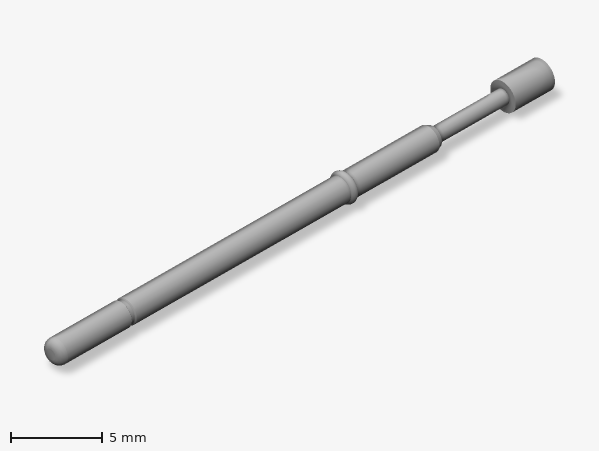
import cadquery as cq
import math


total_length = 37.3
head_length = 3
barrel_length = 29.02
collar_from_nose = 22.23
collar_width = 0.52
groove_from_nose = 5.52
groove_width = 0.37
groove_floor_width = 0.22
mouth_length = 0.35

head_diameter = 2.0
stem_diameter = 1.0
barrel_diameter = 1.68
collar_diameter = 2.0
groove_diameter = 1.5
mouth_diameter = 1.38

nose_rounding = 0.5

nose_y = -total_length / 2
head_y = total_length / 2
stem_end_y = head_y - head_length
mouth_y = nose_y + barrel_length
collar_y = nose_y + collar_from_nose
groove_y = nose_y + groove_from_nose


def turned(profile):
    """Full turn about the Y axis of a closed half profile."""
    return profile.revolve(360, (0, 0, 0), (1, 0, 0))


def half_profile(start_y):
    """Start a half profile on the axis; its points are (y, radius)."""
    return cq.Workplane("YZ").moveTo(start_y, 0)


def bar(diameter, start_y, end_y):
    """Plain round bar."""
    radius = diameter / 2
    profile = half_profile(start_y).lineTo(start_y, radius).lineTo(end_y, radius).lineTo(end_y, 0)
    return turned(profile.close())


def barrel():
    """Tube body with a quarter-round nose and a tapered mouth."""
    radius = barrel_diameter / 2
    arc_inset = nose_rounding * (1 - math.sqrt(0.5))
    profile = (
        half_profile(nose_y)
        .lineTo(nose_y, radius - nose_rounding)
        .threePointArc((nose_y + arc_inset, radius - arc_inset), (nose_y + nose_rounding, radius))
        .lineTo(mouth_y - mouth_length, radius)
        .lineTo(mouth_y, mouth_diameter / 2)
        .lineTo(mouth_y, 0)
        .close()
    )
    return turned(profile)


def collar():
    """Press-fit ring with a rounded crown."""
    start_y = collar_y - collar_width / 2
    end_y = collar_y + collar_width / 2
    foot_radius = barrel_diameter / 2
    profile = (
        half_profile(start_y)
        .lineTo(start_y, foot_radius)
        .threePointArc((collar_y, collar_diameter / 2), (end_y, foot_radius))
        .lineTo(end_y, 0)
        .close()
    )
    return turned(profile)


def groove():
    """Ring with sloping walls, to cut from the barrel near its nose."""
    mouth_half = groove_width / 2
    floor_half = groove_floor_width / 2
    top_radius = barrel_diameter / 2
    floor_radius = groove_diameter / 2
    profile = (
        cq.Workplane("YZ")
        .moveTo(groove_y - mouth_half, top_radius)
        .lineTo(groove_y - floor_half, floor_radius)
        .lineTo(groove_y + floor_half, floor_radius)
        .lineTo(groove_y + mouth_half, top_radius)
        .close()
    )
    return turned(profile)


stem = bar(stem_diameter, mouth_y, stem_end_y)
head = bar(head_diameter, stem_end_y, head_y)

result = barrel().cut(groove()).union(collar()).union(stem).union(head)